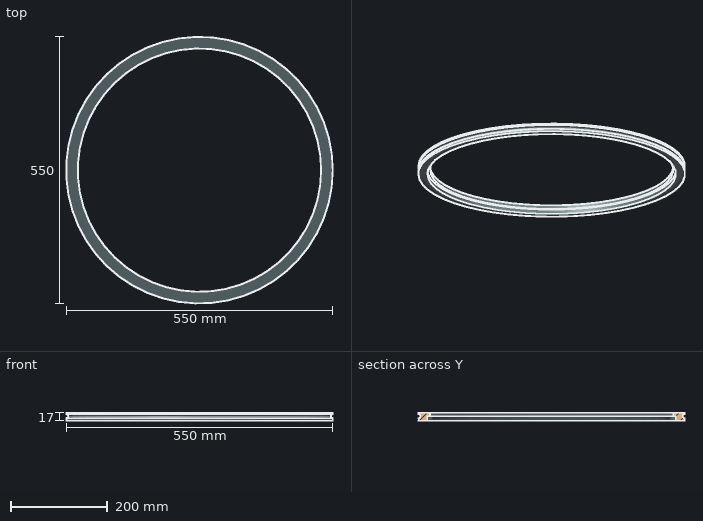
import cadquery as cq

outer_radius = 275.0
bore_radius = 250.5
height = 17.0

groove_radius = 4.0
groove_center_z = 9.5
groove_top_z = groove_center_z + groove_radius
groove_bottom_z = groove_center_z - groove_radius
groove_floor_radius = outer_radius - groove_radius

undercut_radius = 256.0
undercut_height = 9.0


def ring_section():
    """Cross section of the ring on the XZ plane, in (radius, height) coordinates."""
    return (
        cq.Workplane("XZ")
        .moveTo(undercut_radius, 0)
        .lineTo(outer_radius, 0)
        .lineTo(outer_radius, groove_bottom_z)
        .radiusArc((groove_floor_radius, groove_center_z), groove_radius)
        .radiusArc((outer_radius, groove_top_z), groove_radius)
        .lineTo(outer_radius, height)
        .lineTo(bore_radius, height)
        .lineTo(bore_radius, undercut_height)
        .lineTo(undercut_radius, undercut_height)
        .close()
    )


result = ring_section().revolve(360, (0, 0, 0), (0, 1, 0), clean=False)